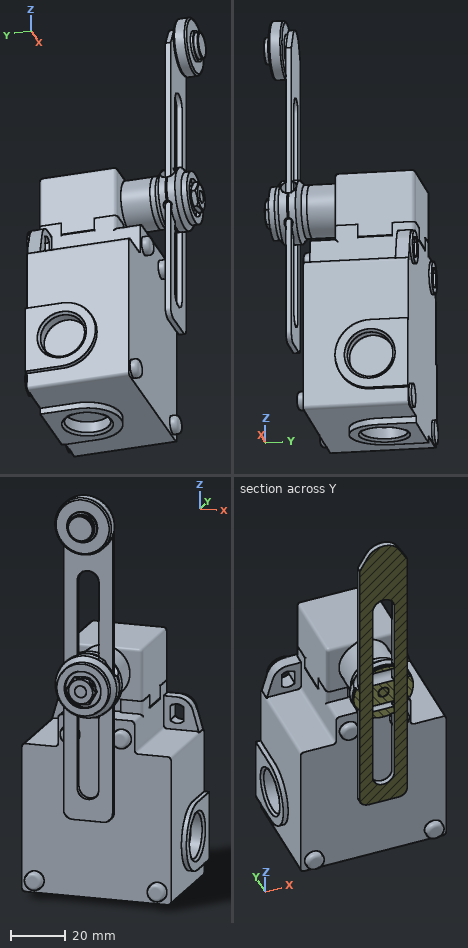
import cadquery as cq
import math


EDGE_RADIUS = 1.5

BLOCK_HALF_WIDTH = 29.0
BLOCK_BOTTOM = 2.5
SHOULDER_TOP = 59.6
BLOCK_DEPTH = 39.5
TOWER_HALF_WIDTH = 14.9
TOWER_TOP = 72.2

NECK_DEPTH = 30.4
NECK_TOP = 77.2
KEY_WIDTH = 13.0
KEY_GAP = 0.3

EAR_THICKNESS = 5.0
EAR_RADIUS = 6.5
EAR_CENTER_X = 20.0
EAR_CENTER_Z = TOWER_TOP - EAR_RADIUS
EAR_TAPER = math.radians(16)
EAR_SLOT_WIDTH = 5.2
EAR_SLOT_END_RADIUS = 3.7
EAR_FOOT_RADIUS = 6.1
FOOT_HEIGHT = 1.0
SCREW_FOOT_RADIUS = 4.5

PORT_RADIUS = 13.1
PORT_Y = -14.2
PORT_Z = 22.1
PORT_REACH = 31.0
BORE_RADIUS = 8.5
BORE_CHAMFER = 1.0
BORE_DEPTH = 5.3

SCREW_RADIUS = 3.5
SCREW_HEIGHT = 2.9
LOWER_SCREW_X = 23.9
LOWER_SCREW_Z = 7.3
UPPER_SCREW_X = 10.0
UPPER_SCREW_Z = 65.1

HEAD_TOP = 97.5
AXIS_Z = 87.5
SHAFT_RADIUS = 10.0
SHAFT_END = -41.7
SPINDLE_RADIUS = 2.3

HUB_RADIUS = 12.0
HUB_BAND_BACK = -45.5
HUB_BAND_FRONT = -52.0
HUB_CONE_LENGTH = 1.8
HUB_FACE = -56.0
RECESS_RADIUS = 7.1
RECESS_DEPTH = 1.6
NUT_ACROSS_FLATS = 10.0
NUT_FACE = -58.5
NUT_BACK = -55.9
NUT_END_RADIUS = 4.7
NUT_CHAMFER = 0.6
UPPER_HOLE_RADIUS = 2.9
UPPER_HOLE_RISE = 7.3
LOWER_HOLE_RADIUS = 1.6
LOWER_HOLE_DROP = 6.8
GROOVE_WIDTH = 0.5
GROOVE_DEPTH = 0.5

LEVER_BACK = -47.5
LEVER_THICKNESS = 2.1
LEVER_FRONT = LEVER_BACK - LEVER_THICKNESS
LEVER_MID = LEVER_BACK - LEVER_THICKNESS / 2
LEVER_HALF_WIDTH = 9.5
LEVER_BOTTOM = 35.2
LEVER_CORNER_RADIUS = 3.5
LEVER_END_RADIUS = 7.3
LEVER_TAPER = math.radians(30)
LEVER_SLOT_HALF_WIDTH = 4.2
LEVER_SLOT_BOTTOM = 43.5
LEVER_SLOT_TOP = 131.6

ROLLER_RADIUS = 11.0
ROLLER_Z = 161.5 - ROLLER_RADIUS
ROLLER_BACK = -50.9
ROLLER_FRONT = -56.0
ROLLER_CHAMFER = 0.6
COLLAR_RADIUS = 5.8
COLLAR_FRONT = -57.0
PIN_RADIUS = 5.0
PIN_FRONT = -58.8
PIN_CHAMFER = 0.3


def box(x_min, x_max, y_min, y_max, z_min, z_max):
    """Rectangular block between the given limits."""
    size = (x_max - x_min, y_max - y_min, z_max - z_min)
    return cq.Workplane("XY", origin=(x_min, y_min, z_min)).box(*size, centered=False)


def disc(x, z, radius, y_back, y_front):
    """Cylinder along Y that runs from y_back forward to y_front."""
    return cq.Workplane("XZ", origin=(x, y_back, z)).circle(radius).extrude(y_back - y_front)


def cross_hole(radius, z):
    """Cylinder along X in the lever plane, long enough to pass through the hub."""
    plane = cq.Workplane("YZ", origin=(-HUB_RADIUS, LEVER_MID, z))
    return plane.circle(radius).extrude(2 * HUB_RADIUS)


def cross_key(z_top):
    """Two crossed bars that fill the channels in the top of the neck up to z_top."""
    half = KEY_WIDTH / 2
    y_mid = -NECK_DEPTH / 2
    along_x = box(-TOWER_HALF_WIDTH, TOWER_HALF_WIDTH, y_mid - half, y_mid + half, TOWER_TOP, z_top)
    along_y = box(-half, half, -NECK_DEPTH, 0, TOWER_TOP, z_top)
    return along_x.union(along_y)



def housing_block():
    block = box(-BLOCK_HALF_WIDTH, BLOCK_HALF_WIDTH, -BLOCK_DEPTH, 0, BLOCK_BOTTOM, SHOULDER_TOP)
    tower = box(-TOWER_HALF_WIDTH, TOWER_HALF_WIDTH, -BLOCK_DEPTH, 0, BLOCK_BOTTOM, TOWER_TOP)
    return block.union(tower).edges("|Y").fillet(EDGE_RADIUS)


def neck():
    post = box(-TOWER_HALF_WIDTH, TOWER_HALF_WIDTH, -NECK_DEPTH, 0, TOWER_TOP - EDGE_RADIUS, NECK_TOP)
    return post.edges("|Z").fillet(EDGE_RADIUS).cut(cross_key(NECK_TOP))


def mounting_ear(side):
    """Rounded ear whose outer edge tapers out to the block, with a round foot behind it."""
    ear_bottom = SHOULDER_TOP - EDGE_RADIUS
    tangent_x = EAR_CENTER_X + EAR_RADIUS * math.cos(EAR_TAPER)
    tangent_z = EAR_CENTER_Z + EAR_RADIUS * math.sin(EAR_TAPER)
    mid_angle = (EAR_TAPER + math.pi / 2) / 2
    arc_mid_x = EAR_CENTER_X + EAR_RADIUS * math.cos(mid_angle)
    arc_mid_z = EAR_CENTER_Z + EAR_RADIUS * math.sin(mid_angle)
    base_x = tangent_x + (tangent_z - ear_bottom) * math.tan(EAR_TAPER)
    plate = (
        cq.Workplane("XZ")
        .moveTo(0, ear_bottom)
        .lineTo(side * base_x, ear_bottom)
        .lineTo(side * tangent_x, tangent_z)
        .threePointArc((side * arc_mid_x, arc_mid_z), (side * EAR_CENTER_X, TOWER_TOP))
        .lineTo(0, TOWER_TOP)
        .close()
        .extrude(EAR_THICKNESS)
    )
    foot = disc(side * EAR_CENTER_X, EAR_CENTER_Z, EAR_FOOT_RADIUS, FOOT_HEIGHT, 0)
    return plate.union(foot)


def ear_slot(side):
    """Round hole flattened on its left and right."""
    x_mid = side * EAR_CENTER_X
    half = EAR_SLOT_WIDTH / 2
    round_hole = disc(x_mid, EAR_CENTER_Z, EAR_SLOT_END_RADIUS, FOOT_HEIGHT, -EAR_THICKNESS)
    strip = box(x_mid - half, x_mid + half, -EAR_THICKNESS, FOOT_HEIGHT, SHOULDER_TOP, TOWER_TOP)
    return round_hole.intersect(strip)


def port_planes():
    """Outer face of each port: left, right and bottom, each with its normal pointing outward."""
    left = cq.Plane(origin=(-PORT_REACH, PORT_Y, PORT_Z), xDir=(0, 1, 0), normal=(-1, 0, 0))
    right = cq.Plane(origin=(PORT_REACH, PORT_Y, PORT_Z), xDir=(0, 1, 0), normal=(1, 0, 0))
    bottom = cq.Plane(origin=(0, PORT_Y, 0), xDir=(0, 1, 0), normal=(0, 0, -1))
    return [left, right, bottom]


def port_pad(plane):
    """Pad with a half-round front end, reaching to the back of the block."""
    return (
        cq.Workplane(plane)
        .moveTo(-PORT_Y, -PORT_RADIUS)
        .lineTo(0, -PORT_RADIUS)
        .threePointArc((-PORT_RADIUS, 0), (0, PORT_RADIUS))
        .lineTo(-PORT_Y, PORT_RADIUS)
        .close()
        .extrude(-BORE_DEPTH)
    )


def port_bore(plane):
    """Blind bore with a chamfered mouth."""
    bore = cq.Workplane(plane).circle(BORE_RADIUS).extrude(-BORE_DEPTH)
    mouth = cq.Solid.makeCone(
        BORE_RADIUS + BORE_CHAMFER, BORE_RADIUS, BORE_CHAMFER, plane.origin, plane.zDir * -1
    )
    return bore.union(cq.Workplane(mouth))


def screw_head(x, z):
    head = disc(x, z, SCREW_RADIUS, -BLOCK_DEPTH, -BLOCK_DEPTH - SCREW_HEIGHT)
    return head.faces("<Y").edges().fillet(EDGE_RADIUS)


def make_housing():
    body = housing_block().union(neck())
    for side in (-1, 1):
        body = body.union(mounting_ear(side)).cut(ear_slot(side))
        body = body.union(screw_head(side * LOWER_SCREW_X, LOWER_SCREW_Z))
        body = body.union(screw_head(side * UPPER_SCREW_X, UPPER_SCREW_Z))
        body = body.union(disc(side * LOWER_SCREW_X, LOWER_SCREW_Z, SCREW_FOOT_RADIUS, FOOT_HEIGHT, 0))
    for plane in port_planes():
        body = body.union(port_pad(plane)).cut(port_bore(plane))
    return body



def make_head():
    cap = box(-TOWER_HALF_WIDTH, TOWER_HALF_WIDTH, -NECK_DEPTH, 0, NECK_TOP, HEAD_TOP)
    cap = cap.edges("|Z or >Z").fillet(EDGE_RADIUS)
    key_bottom = TOWER_TOP + KEY_GAP
    key = cross_key(NECK_TOP + KEY_GAP).intersect(
        box(-TOWER_HALF_WIDTH, TOWER_HALF_WIDTH, -NECK_DEPTH, 0, key_bottom, HEAD_TOP)
    )
    shaft = disc(0, AXIS_Z, SHAFT_RADIUS, -NECK_DEPTH / 2, SHAFT_END)
    spindle = disc(0, AXIS_Z, SPINDLE_RADIUS, SHAFT_END, NUT_FACE)
    return cap.union(key).union(shaft).union(spindle)



def lever_slot():
    slot_width = 2 * LEVER_SLOT_HALF_WIDTH
    slot_middle = (LEVER_SLOT_BOTTOM + LEVER_SLOT_TOP) / 2
    plane = cq.Workplane("XZ", origin=(0, LEVER_BACK, slot_middle))
    return plane.slot2D(LEVER_SLOT_TOP - LEVER_SLOT_BOTTOM, slot_width, 90).extrude(LEVER_THICKNESS)


def make_lever():
    """Flat bar that tapers to a round end about the roller axis and has one long slot."""
    tangent_x = LEVER_END_RADIUS * math.cos(LEVER_TAPER)
    tangent_z = ROLLER_Z + LEVER_END_RADIUS * math.sin(LEVER_TAPER)
    taper_start = tangent_z - (LEVER_HALF_WIDTH - tangent_x) / math.tan(LEVER_TAPER)
    bar = (
        cq.Workplane("XZ", origin=(0, LEVER_BACK, 0))
        .moveTo(-LEVER_HALF_WIDTH, LEVER_BOTTOM)
        .lineTo(LEVER_HALF_WIDTH, LEVER_BOTTOM)
        .lineTo(LEVER_HALF_WIDTH, taper_start)
        .lineTo(tangent_x, tangent_z)
        .threePointArc((0, ROLLER_Z + LEVER_END_RADIUS), (-tangent_x, tangent_z))
        .lineTo(-LEVER_HALF_WIDTH, taper_start)
        .close()
        .extrude(LEVER_THICKNESS)
    )
    bar = bar.edges("|Y and <Z").fillet(LEVER_CORNER_RADIUS)
    return bar.cut(lever_slot())



def turned(profile):
    """Solid turned about the shaft axis from (radius, y) points."""
    outline = cq.Workplane("XY", origin=(0, 0, AXIS_Z)).polyline(profile).close()
    return outline.revolve(360, (0, 0, 0), (0, 1, 0))


def hub_drum():
    """Round hub with a wider chamfered band."""
    profile = [
        (0, SHAFT_END),
        (SHAFT_RADIUS, SHAFT_END),
        (SHAFT_RADIUS, HUB_BAND_BACK + HUB_CONE_LENGTH),
        (HUB_RADIUS, HUB_BAND_BACK),
        (HUB_RADIUS, HUB_BAND_FRONT),
        (SHAFT_RADIUS, HUB_BAND_FRONT - HUB_CONE_LENGTH),
        (SHAFT_RADIUS, HUB_FACE),
        (0, HUB_FACE),
    ]
    return turned(profile)


def hex_nut():
    """Hexagon with flats at top and bottom, corners trimmed by a cone at each end, on a round stem."""
    corner_radius = NUT_ACROSS_FLATS / 2 / math.cos(math.pi / 6)
    nut_plane = cq.Workplane("XZ", origin=(0, NUT_BACK, AXIS_Z))
    nut = nut_plane.polygon(6, 2 * corner_radius).extrude(NUT_BACK - NUT_FACE)
    profile = [
        (0, NUT_BACK),
        (NUT_END_RADIUS, NUT_BACK),
        (corner_radius, NUT_BACK - NUT_CHAMFER),
        (corner_radius, NUT_FACE + NUT_CHAMFER),
        (NUT_END_RADIUS, NUT_FACE),
        (0, NUT_FACE),
    ]
    stem = disc(0, AXIS_Z, NUT_END_RADIUS, HUB_FACE + RECESS_DEPTH, NUT_BACK)
    return nut.intersect(turned(profile)).union(stem)


def parting_groove():
    """Shallow groove round the hub in the lever plane."""
    back = LEVER_MID + GROOVE_WIDTH / 2
    front = LEVER_MID - GROOVE_WIDTH / 2
    core = disc(0, AXIS_Z, HUB_RADIUS - GROOVE_DEPTH, back, front)
    return disc(0, AXIS_Z, HUB_RADIUS, back, front).cut(core)


def make_hub(lever_body):
    body = hub_drum()
    body = body.cut(parting_groove())
    body = body.cut(cross_hole(UPPER_HOLE_RADIUS, AXIS_Z + UPPER_HOLE_RISE))
    body = body.cut(cross_hole(LOWER_HOLE_RADIUS, AXIS_Z - LOWER_HOLE_DROP))
    body = body.cut(disc(0, AXIS_Z, RECESS_RADIUS, HUB_FACE + RECESS_DEPTH, HUB_FACE))
    body = body.union(hex_nut())
    body = body.cut(disc(0, AXIS_Z, SPINDLE_RADIUS, SHAFT_END, NUT_FACE))
    return body.cut(lever_body)



def make_roller():
    wheel = disc(0, ROLLER_Z, ROLLER_RADIUS, ROLLER_BACK, ROLLER_FRONT).edges().chamfer(ROLLER_CHAMFER)
    collar = disc(0, ROLLER_Z, COLLAR_RADIUS, LEVER_FRONT, COLLAR_FRONT)
    pin = disc(0, ROLLER_Z, PIN_RADIUS, LEVER_FRONT, PIN_FRONT).faces("<Y").edges().chamfer(PIN_CHAMFER)
    return wheel.union(collar).union(pin)


housing = make_housing()
head = make_head()
lever = make_lever()
hub = make_hub(lever)
roller = make_roller()

bodies = [housing, head, lever, hub, roller]
result = cq.Compound.makeCompound([body.solids().val() for body in bodies])